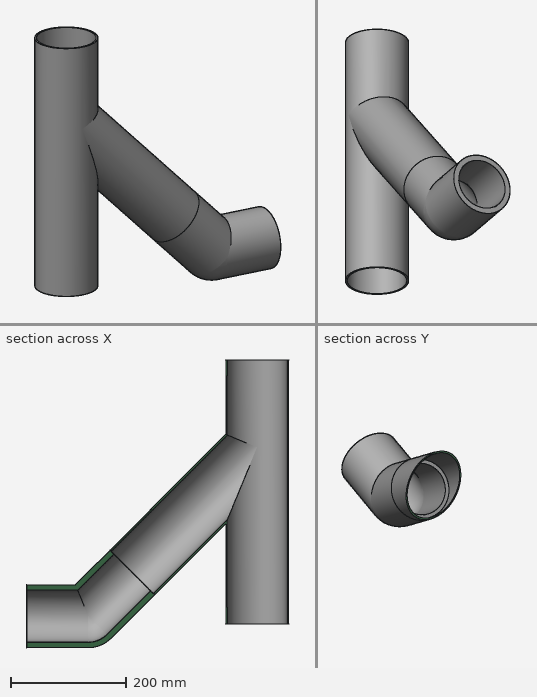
import cadquery as cq
import math

outer_diameter = 110.0
pipe_bore = 103.5
elbow_bore = 90.0
overall_depth = 455.0
overall_height = 499.5
main_length = 458.0
elbow_leg = 107.5
branch_angle = 45.0

outer_radius = outer_diameter / 2
main_bottom = overall_height - main_length

elbow_y = overall_depth - outer_radius - elbow_leg
elbow_z = outer_radius
elbow_corner = cq.Vector(0, elbow_y, elbow_z)
slope = math.radians(branch_angle)
branch_direction = cq.Vector(0, -math.cos(slope), math.sin(slope))
outlet_direction = cq.Vector(0, 1, 0)
branch_start = elbow_corner + branch_direction * elbow_leg
branch_length = elbow_y / math.cos(slope) - elbow_leg


def rod(diameter, start, direction, length):
    """Solid cylinder from a start point along a direction."""
    return cq.Workplane(cq.Solid.makeCylinder(diameter / 2, length, start, direction))


def branch_pipe_shape(diameter):
    """Vertical run joined by the sloping branch, at one diameter."""
    main = rod(diameter, cq.Vector(0, 0, main_bottom), cq.Vector(0, 0, 1), main_length)
    return main.union(rod(diameter, branch_start, branch_direction, branch_length))


def elbow_shape(diameter):
    """Two legs meeting at the corner, with a ball rounding the outside of the bend."""
    outlet = rod(diameter, elbow_corner, outlet_direction, elbow_leg)
    inlet = rod(diameter, elbow_corner, branch_direction, elbow_leg)
    ball = cq.Workplane("XY").sphere(diameter / 2).translate(elbow_corner)
    return outlet.union(inlet).union(ball)


def make_branch_pipe():
    return branch_pipe_shape(outer_diameter).cut(branch_pipe_shape(pipe_bore))


def make_elbow():
    return elbow_shape(outer_diameter).cut(elbow_shape(elbow_bore))


branch_pipe = make_branch_pipe()
elbow = make_elbow()

result = cq.Compound.makeCompound([*branch_pipe.vals(), *elbow.vals()])